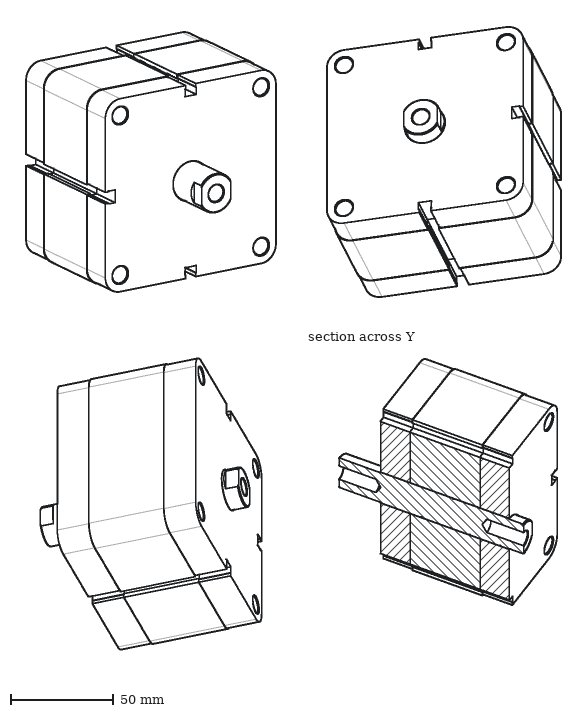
import cadquery as cq
import math

cap_length = 16.4
tube_length = 38.7
rod_reach_left = 8.0
rod_length = 102.5

tube_side = 100.0
cap_side = 99.3
hole_spacing = 82.0
tube_corner = (tube_side - hole_spacing) / 2
cap_corner = (cap_side - hole_spacing) / 2

bolt_hole_diameter = 8.5
bolt_hole_chamfer = 0.5

slot_width = 6.6
slot_depth = 6.0
lip_depth = 2.3
slot_floor = tube_side / 2 - slot_depth
slot_lip = tube_side / 2 - lip_depth
cap_mouth_width = 5.9
tube_mouth_width = 5.0
slot_angles = (0, 90, 180)

bore_chamfer = 0.3

rod_diameter = 20.0
rod_chamfer = 0.5
flat_distance = 16.9
flat_length = 6.7
flat_runout = 0.4
rod_hole_diameter = 8.5
rod_hole_chamfer = 0.4
rod_hole_depth = 20.5
rod_hole_tip_angle = 118.0


def square_block(start, length, side, corner_radius):
    """Square block along X with rounded long edges."""
    block = cq.Workplane("YZ", origin=(start, 0, 0)).rect(side, side).extrude(length)
    return block.edges("|X").fillet(corner_radius)


def cut_t_slots(block, start, length, mouth_width):
    """Cut the T-slots along X; the first one opens at +Z, the next at -Y, the last at -Z."""
    slot_half = slot_width / 2
    mouth_half = mouth_width / 2
    slot_profile = [
        (-slot_half, slot_floor),
        (slot_half, slot_floor),
        (slot_half, slot_lip),
        (mouth_half, slot_lip),
        (mouth_half, tube_side / 2),
        (-mouth_half, tube_side / 2),
        (-mouth_half, slot_lip),
        (-slot_half, slot_lip),
    ]
    slot = cq.Workplane("YZ", origin=(start, 0, 0)).polyline(slot_profile).close().extrude(length)
    for angle in slot_angles:
        block = block.cut(slot.rotate((0, 0, 0), (1, 0, 0), angle))
    return block


def hole_cutters(start, length):
    """Cutters for the four bolt holes and the central rod bore."""
    plane = cq.Workplane("YZ", origin=(start, 0, 0))
    bolts = plane.rect(hole_spacing, hole_spacing, forConstruction=True).vertices()
    bolts = bolts.circle(bolt_hole_diameter / 2).extrude(length)
    return bolts.union(plane.circle(rod_diameter / 2).extrude(length))


def make_cap(start, outer_face):
    """End cap starting at X = start; its holes are chamfered on the outer face."""
    cap = square_block(start, cap_length, cap_side, cap_corner)
    cap = cut_t_slots(cap, start, cap_length, cap_mouth_width)
    cap = cap.cut(hole_cutters(start, cap_length))
    bolt_rims = cap.faces(outer_face).edges(cq.selectors.RadiusNthSelector(0))
    cap = bolt_rims.chamfer(bolt_hole_chamfer)
    bore_rim = cap.faces(outer_face).edges(cq.selectors.RadiusNthSelector(-1))
    return bore_rim.chamfer(bore_chamfer)


def make_tube():
    """Cylinder tube clamped between the two caps."""
    tube = square_block(cap_length, tube_length, tube_side, tube_corner)
    tube = cut_t_slots(tube, cap_length, tube_length, tube_mouth_width)
    return tube.cut(hole_cutters(cap_length, tube_length))


def make_rod():
    """Through rod with wrench flats and a blind, cone-bottomed hole at both ends."""
    half_length = rod_length / 2
    rod = cq.Workplane("YZ").circle(rod_diameter / 2).extrude(half_length, both=True)
    rod = rod.faces("<X or >X").chamfer(rod_chamfer)

    flat_y = flat_distance / 2
    rod_radius = rod_diameter / 2
    shoulder_x = half_length - flat_length
    flat_profile = [
        (half_length, flat_y),
        (half_length, rod_radius),
        (shoulder_x - flat_runout, rod_radius),
        (shoulder_x, flat_y),
    ]
    flat = cq.Workplane("XY").polyline(flat_profile).close().extrude(rod_radius, both=True)
    flat_pair = flat.union(flat.mirror("XZ"))
    rod = rod.cut(flat_pair).cut(flat_pair.mirror("YZ"))

    hole_radius = rod_hole_diameter / 2
    tip_length = hole_radius / math.tan(math.radians(rod_hole_tip_angle / 2))
    hole_bottom = half_length - rod_hole_depth
    hole_profile = [
        (half_length, 0),
        (half_length, hole_radius + rod_hole_chamfer),
        (half_length - rod_hole_chamfer, hole_radius),
        (hole_bottom, hole_radius),
        (hole_bottom - tip_length, 0),
    ]
    hole = cq.Workplane("XY").polyline(hole_profile).close()
    hole = hole.revolve(360, (0, 0, 0), (1, 0, 0))
    rod = rod.cut(hole).cut(hole.mirror("YZ"))
    return rod.translate((half_length - rod_reach_left, 0, 0))


left_cap = make_cap(0, "<X")
right_cap = make_cap(cap_length + tube_length, ">X")
tube = make_tube()
rod = make_rod()

result = cq.Compound.makeCompound([left_cap.val(), tube.val(), right_cap.val(), rod.val()])